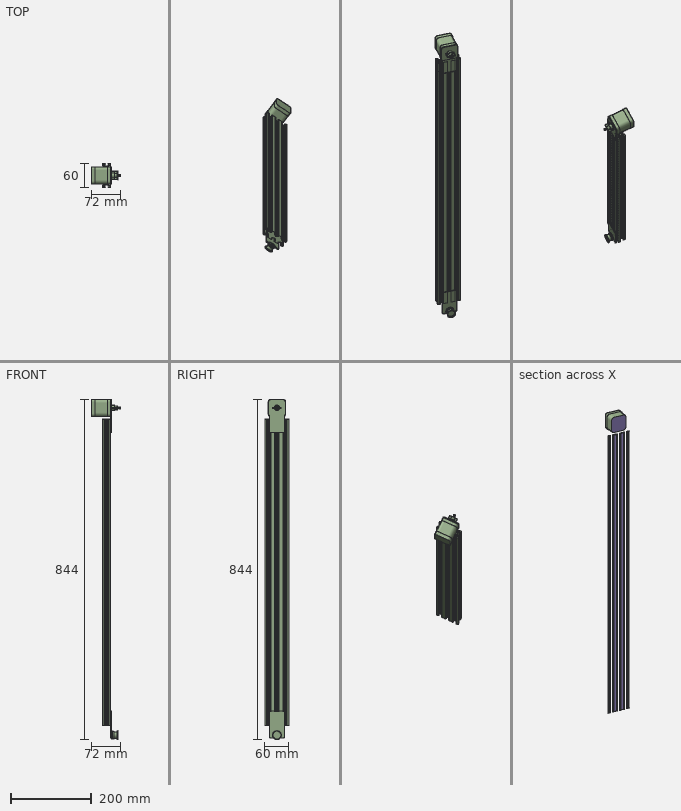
import cadquery as cq

OVERALL_HEIGHT = 844.0
OVERALL_DEPTH = 72.0

RAIL_WIDTH = 60.0
CELL_COUNT = 3
CELL = RAIL_WIDTH / CELL_COUNT
RAIL_LENGTH = 760.5
RAIL_BOTTOM = 35.0
RAIL_BACK = 12.0
RAIL_CENTRE_X = RAIL_BACK - CELL / 2
SLOT_MOUTH = 9.0
SLOT_THROAT = 6.1
SLOT_CAVITY = 11.0
SLOT_FLOOR = 6.0
SLOT_LIP = 1.8
SLOT_DEPTH = 6.1
SLOT_STRAIGHT_END = SLOT_DEPTH - (SLOT_CAVITY - SLOT_FLOOR) / 2
GROOVE_WIDTH = 2.0
GROOVE_DEPTH = 1.0
RAIL_CORNER_RADIUS = 1.3
SLOT_MOUTH_CHAMFER = (SLOT_MOUTH - SLOT_THROAT) / 2

HEAD_SIZE = 43.0
HEAD_CENTRE_Z = OVERALL_HEIGHT - HEAD_SIZE / 2
HEAD_FRONT = -OVERALL_DEPTH / 2
COVER_LENGTH = 9.0
BODY_LENGTH = 30.0
COVER_END = HEAD_FRONT + COVER_LENGTH
BODY_END = COVER_END + BODY_LENGTH
BASE_LENGTH = RAIL_BACK - BODY_END
END_CORNER_RADIUS = 7.0
BODY_CORNER_RADIUS = 9.0

BRACKET_THICKNESS = 2.5
BRACKET_BACK = RAIL_BACK + BRACKET_THICKNESS
BRACKET_WIDTH = 38.0
TOP_BRACKET_BOTTOM = 761.0
BOTTOM_BRACKET_TOP = 71.0
BOTTOM_BRACKET_BOTTOM = 3.0
BRACKET_CORNER_RADIUS = 4.0

CONNECTOR_CENTRE_Z = 823.0
COLLAR_RADIUS = 7.0
COLLAR_LENGTH = 7.0
COLLAR_END = BRACKET_BACK + COLLAR_LENGTH
FIN_SPAN = 21.0
FIN_THICKNESS = 2.5
PLUG_RADIUS = 5.0
PLUG_LENGTH = 8.0
PIN_RADIUS = 2.0
PIN_LENGTH = 4.0
TIP_RADIUS = 2.5

SPOOL_RIM_RADIUS = 11.0
SPOOL_CENTRE_Z = SPOOL_RIM_RADIUS
SPOOL_FLANGE_RADIUS = 10.0
SPOOL_FLANGE_THICKNESS = 5.0
SPOOL_FLANGE_TAPER = 1.0
SPOOL_RIM_THICKNESS = 2.5
SPOOL_NECK_RADIUS = 8.5
SPOOL_NECK_LENGTH = 8.0
STUD_RADIUS = 2.5


def disc(start_x, length, radius, centre_z):
    """Cylinder along +X."""
    return cq.Workplane("YZ", origin=(start_x, 0, centre_z)).circle(radius).extrude(length)


def rounded_block(start_x, length, corner_radius):
    """Square head section along +X with rounded long edges."""
    return (
        cq.Workplane("YZ", origin=(start_x, 0, HEAD_CENTRE_Z))
        .rect(HEAD_SIZE, HEAD_SIZE)
        .extrude(length)
        .edges("|X")
        .fillet(corner_radius)
    )


def slot_cutter():
    """Slot along Z with its mouth on the plane X = 0, going in along -X to a grooved floor."""
    half_outline = [
        (0, SLOT_MOUTH / 2),
        (-SLOT_MOUTH_CHAMFER, SLOT_THROAT / 2),
        (-SLOT_LIP, SLOT_THROAT / 2),
        (-SLOT_LIP, SLOT_CAVITY / 2),
        (-SLOT_STRAIGHT_END, SLOT_CAVITY / 2),
        (-SLOT_DEPTH, SLOT_FLOOR / 2),
        (-SLOT_DEPTH, GROOVE_WIDTH / 2),
        (-SLOT_DEPTH - GROOVE_DEPTH, GROOVE_WIDTH / 2),
    ]
    mirrored_half = [(x, -y) for x, y in reversed(half_outline)]
    return cq.Workplane("XY").polyline(half_outline + mirrored_half).close().extrude(RAIL_LENGTH)


def make_rail():
    rail = cq.Workplane("XY").box(CELL, RAIL_WIDTH, RAIL_LENGTH, centered=(True, True, False))
    rail = rail.edges("|Z").fillet(RAIL_CORNER_RADIUS)
    cutter = slot_cutter()
    for index in range(CELL_COUNT):
        cell_y = (index - (CELL_COUNT - 1) / 2) * CELL
        for turn in (0, 180):
            face_slot = cutter.translate((CELL / 2, 0, 0)).rotate((0, 0, 0), (0, 0, 1), turn)
            rail = rail.cut(face_slot.translate((0, cell_y, 0)))
    for turn in (90, -90):
        side_slot = cutter.translate((RAIL_WIDTH / 2, 0, 0)).rotate((0, 0, 0), (0, 0, 1), turn)
        rail = rail.cut(side_slot)
    return rail.translate((RAIL_CENTRE_X, 0, RAIL_BOTTOM))


def make_top_bracket():
    """Strip on the rail that widens to a square plate behind the head."""
    plate = rounded_block(RAIL_BACK, BRACKET_THICKNESS, END_CORNER_RADIUS)
    strip = cq.Workplane("XY").box(
        BRACKET_THICKNESS, BRACKET_WIDTH, HEAD_CENTRE_Z - TOP_BRACKET_BOTTOM, centered=(False, True, False)
    )
    return plate.union(strip.translate((RAIL_BACK, 0, TOP_BRACKET_BOTTOM)))


def make_bottom_bracket():
    """Strip on the rail with rounded lower corners and a hole for the spool's stud."""
    strip = cq.Workplane("XY").box(
        BRACKET_THICKNESS,
        BRACKET_WIDTH,
        BOTTOM_BRACKET_TOP - BOTTOM_BRACKET_BOTTOM,
        centered=(False, True, False),
    )
    strip = strip.translate((RAIL_BACK, 0, BOTTOM_BRACKET_BOTTOM))
    strip = strip.edges("|X and <Z").fillet(BRACKET_CORNER_RADIUS)
    return strip.cut(disc(RAIL_BACK, BRACKET_THICKNESS, STUD_RADIUS, SPOOL_CENTRE_Z))


def finned_disc(start_x, length, radius):
    """Connector cylinder along +X with a flat fin across it along Y."""
    fin = cq.Workplane("XY").box(length, FIN_SPAN, FIN_THICKNESS, centered=(False, True, True))
    fin = fin.translate((start_x, 0, CONNECTOR_CENTRE_Z))
    return disc(start_x, length, radius, CONNECTOR_CENTRE_Z).union(fin)


def make_connector_plug():
    """Finned plug, pin and tip, one after another along +X."""
    pin_start = COLLAR_END + PLUG_LENGTH
    tip_start = pin_start + PIN_LENGTH
    tip_length = OVERALL_DEPTH / 2 - tip_start
    return (
        finned_disc(COLLAR_END, PLUG_LENGTH, PLUG_RADIUS)
        .union(disc(pin_start, PIN_LENGTH, PIN_RADIUS, CONNECTOR_CENTRE_Z))
        .union(disc(tip_start, tip_length, TIP_RADIUS, CONNECTOR_CENTRE_Z))
    )


def make_spool():
    """Turned spool: stud, flange that tapers toward the neck, neck and a rim that flares outward."""
    neck_start = BRACKET_BACK + SPOOL_FLANGE_THICKNESS
    rim_start = neck_start + SPOOL_NECK_LENGTH
    rim_end = rim_start + SPOOL_RIM_THICKNESS
    half_outline = [
        (RAIL_BACK, 0),
        (RAIL_BACK, STUD_RADIUS),
        (BRACKET_BACK, STUD_RADIUS),
        (BRACKET_BACK, SPOOL_FLANGE_RADIUS),
        (BRACKET_BACK + SPOOL_FLANGE_THICKNESS / 2, SPOOL_FLANGE_RADIUS),
        (neck_start, SPOOL_FLANGE_RADIUS - SPOOL_FLANGE_TAPER),
        (neck_start, SPOOL_NECK_RADIUS),
        (rim_start, SPOOL_NECK_RADIUS),
        (rim_start, SPOOL_FLANGE_RADIUS),
        (rim_end, SPOOL_RIM_RADIUS),
        (rim_end, 0),
    ]
    spool = cq.Workplane("XZ").polyline(half_outline).close().revolve(360, (0, 0, 0), (1, 0, 0))
    return spool.translate((0, 0, SPOOL_CENTRE_Z))


head_cover = rounded_block(HEAD_FRONT, COVER_LENGTH, END_CORNER_RADIUS)
head_body = rounded_block(COVER_END, BODY_LENGTH, BODY_CORNER_RADIUS)
head_base = rounded_block(BODY_END, BASE_LENGTH, END_CORNER_RADIUS)
rail = make_rail()
top_bracket = make_top_bracket()
bottom_bracket = make_bottom_bracket()
connector_collar = finned_disc(BRACKET_BACK, COLLAR_LENGTH, COLLAR_RADIUS)
connector_plug = make_connector_plug()
spool = make_spool()

result = cq.Compound.makeCompound(
    [
        head_cover.val(),
        head_body.val(),
        head_base.val(),
        rail.val(),
        top_bracket.val(),
        bottom_bracket.val(),
        connector_collar.val(),
        connector_plug.val(),
        spool.val(),
    ]
)